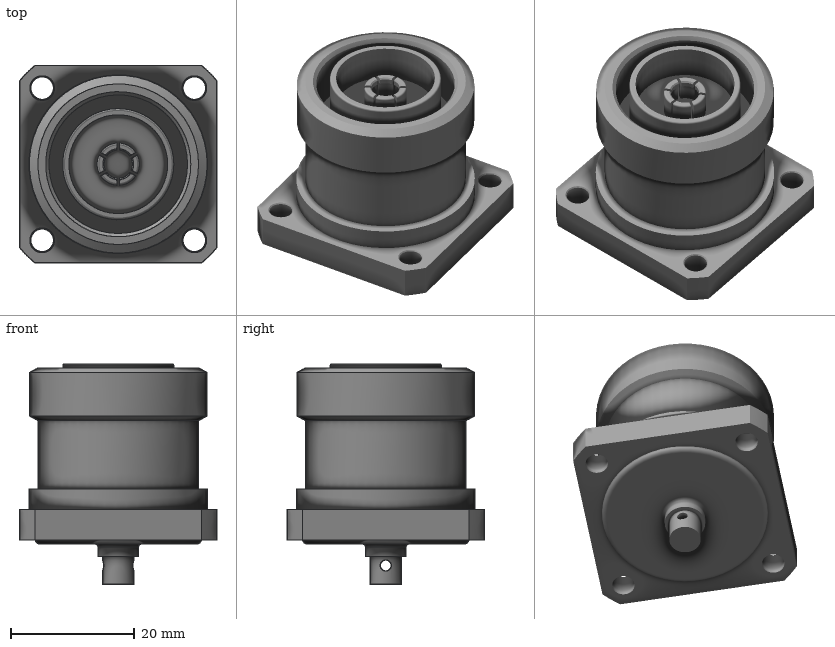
import cadquery as cq
import math

overall_height = 35.75
shield_top = 28.55
tail_bottom = shield_top - overall_height
flange_top = 5.0
shoulder_top = 8.33
head_bottom = 19.38
head_bevel_height = 0.75
head_top = 27.92
outer_floor = 19.9
inner_floor = 22.7
contact_top = 26.8

flange_width = 32.0
flange_corner_radius = 20.95
hole_offset = 12.35
hole_radius = 1.82
hole_chamfer = 0.18

shoulder_radius = 14.48
barrel_radius = 13.0
head_radius = 14.4
head_bore_radius = 11.23
head_bore_chamfer = 0.55
shield_radius = 9.0
shield_bore_radius = 8.0
shield_rounding = 0.3

contact_radius = 3.43
contact_rim_rounding = 0.3
contact_mouth_radius = 2.3
contact_mouth_chamfer = 0.2
contact_lip_height = 1.0
contact_bore_radius = 2.68
slot_width = 0.45
slot_cuts = 3

collar_radius = 3.3
collar_bottom = -2.68
tail_radius = 2.55
cross_hole_radius = 0.875
cross_hole_height = -4.1

seal_radius = 13.48
seal_thickness = 0.65
seal_rounding_width = 0.82
seal_flare = 0.5


def cylinder(radius, bottom, top):
    return cq.Workplane("XY").workplane(offset=bottom).circle(radius).extrude(top - bottom)


def turn(profile):
    """Spin a closed profile of radius and height about the connector axis."""
    return profile.close().revolve(360, (0, 0, 0), (0, 1, 0))


def make_flange():
    """Square plate with turned corners and four countersunk screw holes."""
    square = cq.Workplane("XY").rect(flange_width, flange_width).extrude(flange_top)
    flange = square.intersect(cylinder(flange_corner_radius, 0, flange_top))
    spots = [(x, y) for x in (-hole_offset, hole_offset) for y in (-hole_offset, hole_offset)]
    return flange.faces(">Z").workplane().pushPoints(spots).cskHole(
        2 * hole_radius, 2 * (hole_radius + hole_chamfer), 90
    )


def make_shell():
    """Shoulder, barrel, bevelled head and shield tube as one turned profile."""
    profile = (
        cq.Workplane("XZ")
        .moveTo(0, flange_top)
        .lineTo(shoulder_radius, flange_top)
        .lineTo(shoulder_radius, shoulder_top)
        .lineTo(barrel_radius, shoulder_top)
        .lineTo(barrel_radius, head_bottom)
        .lineTo(head_radius, head_bottom + head_bevel_height)
        .lineTo(head_radius, head_top - head_bevel_height)
        .lineTo(barrel_radius, head_top)
        .lineTo(head_bore_radius + head_bore_chamfer, head_top)
        .lineTo(head_bore_radius, head_top - head_bore_chamfer)
        .lineTo(head_bore_radius, outer_floor)
        .lineTo(shield_radius, outer_floor)
        .lineTo(shield_radius, shield_top - shield_rounding)
        .tangentArcPoint((shield_radius - shield_rounding, shield_top), relative=False)
        .lineTo(shield_bore_radius, shield_top)
        .lineTo(shield_bore_radius, inner_floor)
        .lineTo(0, inner_floor)
    )
    return turn(profile)


def make_contact():
    """Socket with a narrowed mouth, split down to the insulator into spring fingers."""
    lip_bottom = contact_top - contact_lip_height
    profile = (
        cq.Workplane("XZ")
        .moveTo(contact_bore_radius, inner_floor)
        .lineTo(contact_radius, inner_floor)
        .lineTo(contact_radius, contact_top - contact_rim_rounding)
        .tangentArcPoint((contact_radius - contact_rim_rounding, contact_top), relative=False)
        .lineTo(contact_mouth_radius + contact_mouth_chamfer, contact_top)
        .lineTo(contact_mouth_radius, contact_top - contact_mouth_chamfer)
        .lineTo(contact_mouth_radius, lip_bottom)
        .lineTo(contact_bore_radius, lip_bottom)
    )
    contact = turn(profile)
    slot = (
        cq.Workplane("XY")
        .workplane(offset=inner_floor)
        .rect(slot_width, 2 * contact_radius)
        .extrude(contact_top - inner_floor)
    )
    for index in range(slot_cuts):
        contact = contact.cut(slot.rotate((0, 0, 0), (0, 0, 1), index * 180 / slot_cuts))
    return contact


def make_tail():
    """Collar and solder tail with the wire hole drilled across it."""
    tail = cylinder(collar_radius, collar_bottom, 0).union(cylinder(tail_radius, tail_bottom, collar_bottom))
    cross_hole = (
        cq.Workplane("YZ")
        .center(0, cross_hole_height)
        .circle(cross_hole_radius)
        .extrude(2 * tail_radius, both=True)
    )
    return tail.cut(cross_hole)


def make_connector():
    return make_flange().union(make_shell()).union(make_contact()).union(make_tail())


def make_seal():
    """Disc with a rounded rim and a concave flare running onto the collar."""
    flare_end = (collar_radius + seal_flare, -seal_thickness)
    flare_reach = seal_flare * (1 - math.sqrt(0.5))
    flare_middle = (collar_radius + flare_reach, -seal_thickness - flare_reach)
    profile = (
        cq.Workplane("XZ")
        .moveTo(collar_radius, 0)
        .lineTo(collar_radius, -seal_thickness - seal_flare)
        .threePointArc(flare_middle, flare_end)
        .lineTo(seal_radius - seal_rounding_width, -seal_thickness)
        .tangentArcPoint((seal_radius, 0), relative=False)
    )
    return turn(profile)


connector = make_connector()
seal = make_seal()

result = cq.Compound.makeCompound([connector.solids().val(), seal.val()])